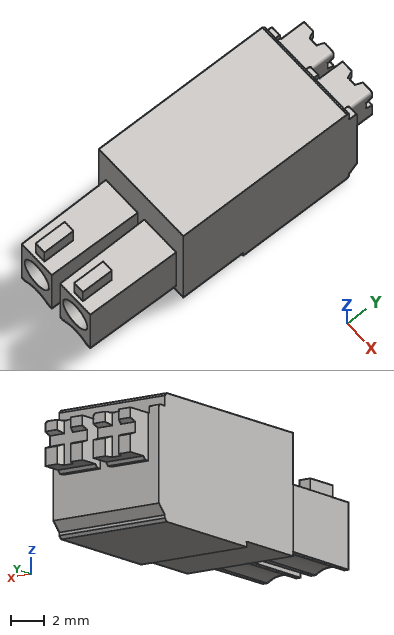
import cadquery as cq


pitch = 3.5
pole_centers = (-pitch / 2, pitch / 2)

overall_length = 21.8
housing_width = 7.7
housing_height = 7.8
plug_length = 6.58
terminal_reach = 1.78
housing_length = overall_length - plug_length - terminal_reach

shoulder_radius = 0.2
end_chamfer = 0.19
end_step_depth = 0.6
shoulder_drop = 0.8
shoulder_z = housing_height - shoulder_drop
lower_bevel_z = 0.38
foot_height = 0.33
foot_start_y = 4.62
end_step_y = housing_length - end_step_depth

plug_root_width = 2.9
plug_tip_width = 2.74
plug_bottom_z = 0.86
plug_height = 4.08
plug_top_z = plug_bottom_z + plug_height

groove_width = 2.1
groove_depth = 0.33

socket_z = 3.06
socket_mouth_diameter = 2.2
socket_floor_diameter = 2.06
socket_depth = 0.9

key_width = 0.8
key_height = 1.12
key_length = 2.24
key_setback = 0.26

terminal_offset_x = 0.03
terminal_width = 2.71
terminal_drop = 1.25
terminal_top_z = housing_height - terminal_drop
terminal_height = 2.7
terminal_bottom_z = terminal_top_z - terminal_height
terminal_edge_radius = 0.22
terminal_heel_height = 0.2
terminal_heel_length = 0.5

notch_mouth_width = 1.0
notch_floor_width = 0.64
notch_depth = 0.46
notch_drop = 1.11
notch_z = terminal_top_z - notch_drop

channel_width = 2.76

terminal_end_y = housing_length + terminal_reach


def make_box(center_x, width, y_range, z_range):
    """Box centred on center_x, spanning the given Y and Z ranges."""
    length = y_range[1] - y_range[0]
    height = z_range[1] - z_range[0]
    box = cq.Workplane("XY").box(width, length, height, centered=(True, False, False))
    return box.translate((center_x, y_range[0], z_range[0]))


def extrude_along_x(points, center_x, width):
    """Extrude a closed (y, z) outline symmetrically about center_x."""
    solid = cq.Workplane("YZ").polyline(points).close().extrude(width / 2, both=True)
    return solid.translate((center_x, 0, 0))


def nearest_to(y, z):
    """Selector for the edge along X that runs through (y, z)."""
    return cq.selectors.NearestToPointSelector((0, y, z))


def make_housing():
    """Housing with a stepped end, eased rear corners and a shallow foot below."""
    outline = [
        (0, foot_height),
        (foot_start_y, foot_height),
        (foot_start_y, 0),
        (end_step_y, 0),
        (end_step_y, lower_bevel_z),
        (housing_length, lower_bevel_z + end_step_depth),
        (housing_length, shoulder_z),
        (end_step_y, shoulder_z),
        (end_step_y, housing_height),
        (0, housing_height),
    ]
    housing = extrude_along_x(outline, 0, housing_width)
    housing = housing.edges(nearest_to(housing_length, shoulder_z)).fillet(shoulder_radius)
    for corner_z in (0, housing_height):
        housing = housing.edges(nearest_to(end_step_y, corner_z)).chamfer(end_chamfer)
    return housing


def make_channel(center_x):
    """Cutter that opens the shoulder down to the terminal top."""
    y_range = (end_step_y, housing_length)
    return make_box(center_x, channel_width, y_range, (terminal_top_z, shoulder_z))


def make_plug(center_x):
    """Plug narrowing in X toward its tip, with key, socket and underside groove."""
    plug = (
        cq.Workplane("XY", origin=(center_x, 0, plug_bottom_z))
        .moveTo(-plug_root_width / 2, 0)
        .lineTo(-plug_tip_width / 2, -plug_length)
        .lineTo(plug_tip_width / 2, -plug_length)
        .lineTo(plug_root_width / 2, 0)
        .close()
        .extrude(plug_height)
    )

    key_front_y = key_setback - plug_length
    key_y_range = (key_front_y, key_front_y + key_length)
    key = make_box(center_x, key_width, key_y_range, (plug_top_z, plug_top_z + key_height))

    groove = (
        cq.Workplane("XZ", origin=(center_x, 0, plug_bottom_z))
        .moveTo(-groove_width / 2, 0)
        .threePointArc((0, groove_depth), (groove_width / 2, 0))
        .close()
        .extrude(plug_length)
    )

    socket = (
        cq.Workplane("XZ", origin=(center_x, -plug_length, socket_z))
        .circle(socket_mouth_diameter / 2)
        .workplane(offset=-socket_depth)
        .circle(socket_floor_diameter / 2)
        .loft()
    )
    return plug.union(key).cut(groove).cut(socket)


def notch_outline(center):
    """Trapezoid in (across, y), widening toward the terminal end face."""
    floor_y = terminal_end_y - notch_depth
    return [
        (center - notch_mouth_width / 2, terminal_end_y),
        (center - notch_floor_width / 2, floor_y),
        (center + notch_floor_width / 2, floor_y),
        (center + notch_mouth_width / 2, terminal_end_y),
    ]


def make_terminal(pole_x):
    """Terminal block with a heel at its base and two crossing end notches."""
    center_x = pole_x + terminal_offset_x
    heel_y = housing_length + terminal_heel_length
    heel_z = terminal_bottom_z - terminal_heel_height
    outline = [
        (housing_length, heel_z),
        (heel_y - terminal_heel_height, heel_z),
        (heel_y, terminal_bottom_z),
        (terminal_end_y, terminal_bottom_z),
        (terminal_end_y, terminal_top_z),
        (housing_length, terminal_top_z),
    ]
    terminal = extrude_along_x(outline, center_x, terminal_width)
    terminal = terminal.edges("|Y and >X and >Z").fillet(terminal_edge_radius)

    vertical_notch = (
        cq.Workplane("XY", origin=(0, 0, heel_z))
        .polyline(notch_outline(center_x))
        .close()
        .extrude(terminal_top_z - heel_z)
    )
    side_notch_points = [(y, z) for z, y in notch_outline(notch_z)]
    side_notch = extrude_along_x(side_notch_points, center_x, terminal_width)
    return terminal.cut(vertical_notch).cut(side_notch)


result = make_housing()
for pole_center in pole_centers:
    result = result.cut(make_channel(pole_center))
    result = result.union(make_plug(pole_center))
    result = result.union(make_terminal(pole_center))